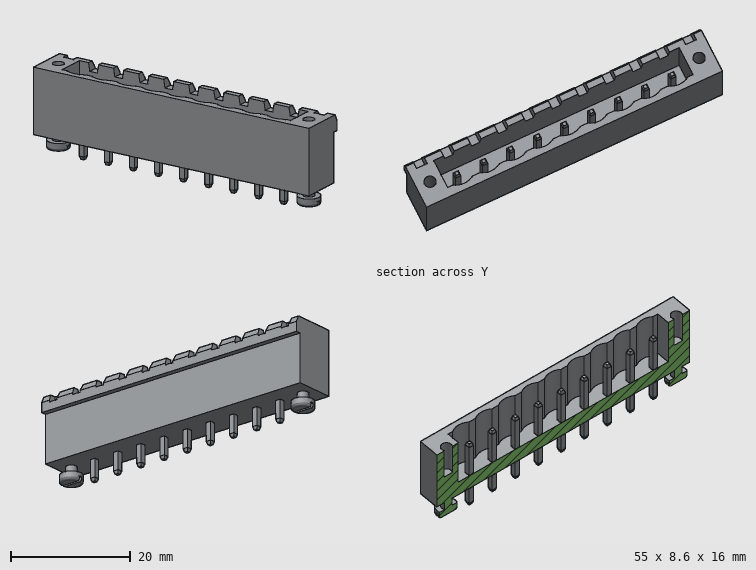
import cadquery as cq


pitch = 5.0
pole_count = 9
length = 55.0
depth = 7.6
height = 12.0
total_depth = 8.6

lip_height = 3.0
lip_chamfer_drop = 1.2
lip_chamfer_run = 0.6

cavity_length = 45.6
cavity_front = 1.6
cavity_back = 6.9
floor_thickness = 3.0
scallop_sag = 0.55
scallop_chord = 3.6

notch_top_width = 2.0
notch_floor_width = 1.5
notch_depth = 1.5

row_y = 3.8
pin_width = 1.0
pin_tip_width = 0.6
pin_tip_length = 0.6
pin_below = 4.0
pin_recess = 2.0

screw_diameter = 2.0
head_diameter = 4.0
stem_length = 1.5
head_height = 1.5
head_fillet = 0.4
slot_width = 0.5
slot_depth = 0.8
screw_hole_depth = 6.0

pin_positions = [(i - (pole_count - 1) / 2) * pitch for i in range(pole_count)]
screw_offset = (pole_count + 1) / 2 * pitch
screw_positions = [-screw_offset, screw_offset]


def make_housing():
    """Constant Y-Z profile with a chamfered lip, run along X."""
    profile = [
        (0, 0),
        (depth, 0),
        (depth, height - lip_height),
        (total_depth, height - lip_height),
        (total_depth, height - lip_chamfer_drop),
        (total_depth - lip_chamfer_run, height),
        (0, height),
    ]
    return cq.Workplane("YZ").polyline(profile).close().extrude(length / 2, both=True)


def make_cavity():
    """Rectangular pocket whose front wall is scalloped at every pole."""
    half = cavity_length / 2
    outline = cq.Workplane("XY", origin=(0, 0, floor_thickness))
    outline = outline.moveTo(-half, cavity_back).lineTo(-half, cavity_front)
    for x in pin_positions:
        outline = outline.lineTo(x - scallop_chord / 2, cavity_front)
        outline = outline.threePointArc(
            (x, cavity_front - scallop_sag),
            (x + scallop_chord / 2, cavity_front),
        )
    outline = outline.lineTo(half, cavity_front).lineTo(half, cavity_back).close()
    return outline.extrude(height - floor_thickness)


def make_notch(x):
    """Notch with sloping sides, open to the top and back of the lip."""
    profile = [
        (x - notch_top_width / 2, height),
        (x - notch_floor_width / 2, height - notch_depth),
        (x + notch_floor_width / 2, height - notch_depth),
        (x + notch_top_width / 2, height),
    ]
    back_plane = cq.Workplane("XZ", origin=(0, total_depth, 0))
    return back_plane.polyline(profile).close().extrude(total_depth - cavity_back)


def make_pin_tip(x, z, direction):
    """Square taper that starts at height z and narrows upward (1) or downward (-1)."""
    plane = cq.Plane(origin=(x, row_y, z), xDir=(1, 0, 0), normal=(0, 0, direction))
    return (
        cq.Workplane(plane)
        .rect(pin_width, pin_width)
        .workplane(offset=pin_tip_length)
        .rect(pin_tip_width, pin_tip_width)
        .loft(ruled=True)
    )


def make_pin(x):
    """Square contact pin, tapered at both ends."""
    shank_bottom = pin_tip_length - pin_below
    shank_top = height - pin_recess - pin_tip_length
    shank = (
        cq.Workplane("XY", origin=(x, row_y, shank_bottom))
        .rect(pin_width, pin_width)
        .extrude(shank_top - shank_bottom)
    )
    return shank.union(make_pin_tip(x, shank_bottom, -1)).union(make_pin_tip(x, shank_top, 1))


def make_screw(x):
    """Stem and slotted, rounded head hanging below the housing."""
    head_bottom = -stem_length - head_height
    stem = (
        cq.Workplane("XY", origin=(x, row_y, -stem_length))
        .circle(screw_diameter / 2)
        .extrude(stem_length)
    )
    head = (
        cq.Workplane("XY", origin=(x, row_y, head_bottom))
        .circle(head_diameter / 2)
        .extrude(head_height)
        .faces("<Z")
        .edges()
        .fillet(head_fillet)
    )
    slot = (
        cq.Workplane("XY", origin=(x, row_y, head_bottom))
        .rect(head_diameter, slot_width)
        .extrude(slot_depth)
    )
    return stem.union(head).cut(slot)


def make_screw_hole(x):
    """Blind round hole in the top face, in line with a screw."""
    return (
        cq.Workplane("XY", origin=(x, row_y, height - screw_hole_depth))
        .circle(screw_diameter / 2)
        .extrude(screw_hole_depth)
    )


result = make_housing().cut(make_cavity())

for x in screw_positions + pin_positions:
    result = result.cut(make_notch(x))

for x in pin_positions:
    result = result.union(make_pin(x))

for x in screw_positions:
    result = result.cut(make_screw_hole(x)).union(make_screw(x))